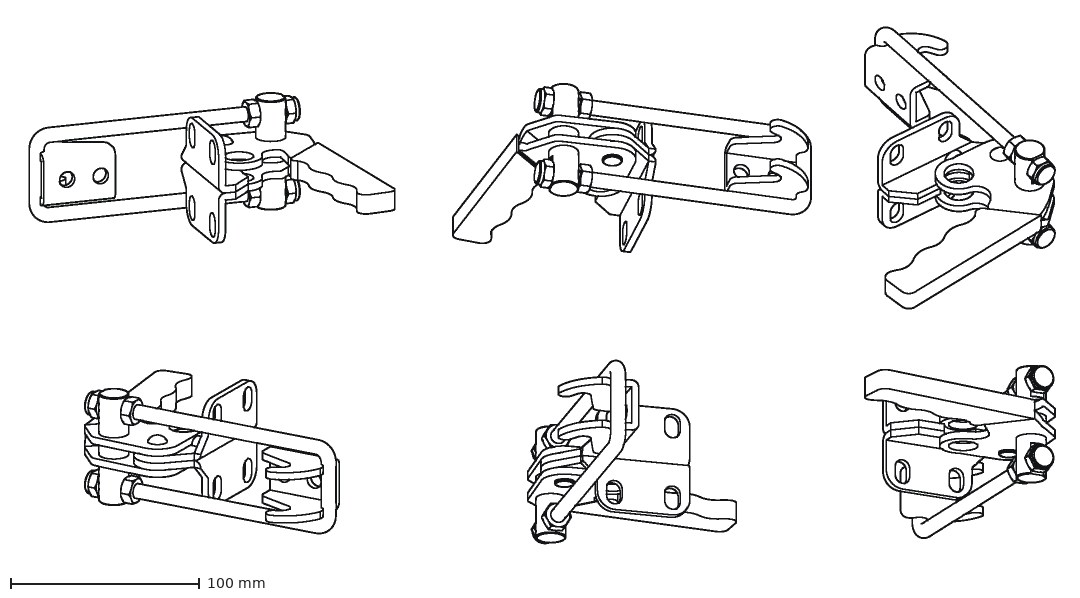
import cadquery as cq
import math


STACK_HEIGHT = 15.9
SHEET = STACK_HEIGHT / 4
ROD_DIAMETER = 8.0
ROD_RADIUS = ROD_DIAMETER / 2
ROD_HALF_SPACING = 22.2

BARREL_RADIUS = 8.0
BARREL_LENGTH = 60.4
BARREL_CHAMFER = 0.5
BARREL_FLAT_Y = 7.0
BARREL_FLAT_START = 13.0

U_BEND_RADIUS = 7.1
U_BOTTOM_Y = -135.7
U_BAR_Y = U_BOTTOM_Y + ROD_RADIUS
NUT_ACROSS_FLATS = 13.0
NUT_CHAMFER_RADIUS = 0.93
NUT_CHAMFER_HEIGHT = 0.54
JAM_NUT_HEIGHT = 6.1
LOCK_NUT_HEIGHT = 5.0
COLLAR_HEIGHT = 2.5
COLLAR_DIAMETER = 12.7
COLLAR_CHAMFER = 0.7

PIVOT = (0, -26.7)
EYE = (26.5, -27.4)
EYE_RADIUS = 7.8
CORNER_RADIUS = 12.5
NOTCH = (30.1, -7.5)
NOTCH_RADIUS = 8.0
NOTCH_END_ANGLE = 110
LEVER_ANGLE = 43
LEVER_SHOULDER = (-11.2, 7.0)
LEVER_SHOULDER_RADIUS = 4.7
LEVER_TOP_Y = 21.6
LEVER_TOP_RADIUS = 13.5
TONGUE_END_X = 37.2
JOG_ANGLE = 34
JOG_START = 15.0

GRIP_THICKNESS = 10.7
GRIP_TOP_CORNER = (9.6, 23.2)
GRIP_FACE_BOTTOM = (30.8, 0.76)
GRIP_END_TOP = (105.2, 34.0)
GRIP_END_BOTTOM = (107.2, 12.3)
GRIP_CORNER_RADIUS = 4.7
GROOVE_COUNT = 3
GROOVE_START = (37.2, 1.9)
GROOVE_STEP = (24.0, 4.9)
GROOVE_MIDDLE = (5.5, 2.7)
GROOVE_END = (10.8, 2.4)
BULGE_MIDDLE = (16.9, 1.9)
FIRST_BULGE_MIDDLE = (33.8, -0.5)
LAST_BULGE_MIDDLE = (100.1, 12.7)
LAST_BULGE_END_X = 102.8

BASE_TOP_Y = -31.0
BEND_Y = -47.5
BASE_RIGHT_X = 62.0
BASE_CHAMFER = 11.0
EYE_CLEARANCE_RADIUS = 10.0
FOOT_LEFT_X = 11.2
FOOT_SPAN = 59.7
FOOT_HALF_HEIGHT = FOOT_SPAN / 2
FOOT_CORNER_RADIUS = 9.6
FOOT_INNER_RADIUS = 2.9
SLOT_X = (20.5, 52.5)
SLOT_Z = 20.1
SLOT_LENGTH = 13.0
SLOT_WIDTH = 8.5
STOP_X = 18.3
STOP_RADIUS = 5.4
STOP_AXIS_Z = 2.2
STOP_END_Y = -44.1

RIVET_HEAD_RADIUS = 5.2
RIVET_DOME_HEIGHT = 3.2
RIVET_TAIL_HEIGHT = 1.2
RIVET_TAIL_CHAMFER = 0.5
RIVET_SHANK_RADIUS = 4.0

KEEPER_HEIGHT = 28.2
KEEPER_HALF_HEIGHT = KEEPER_HEIGHT / 2
KEEPER_BACK_X = 11.3
KEEPER_TOP_Y = -91.3
KEEPER_BOTTOM_Y = -131.8
KEEPER_HOLE_Y = (-99.6, -118.5)
KEEPER_HOLE_DIAMETER = 8.5
HOOK_TIP = (-23.0, -111.3)
HOOK_TIP_RADIUS = 4.0
HOOK_TIP_MIDDLE_ANGLE = 110
HOOK_TIP_END_ANGLE = 195
HOOK_THROAT = (-13.5, -111.5)
HOOK_THROAT_RADIUS = 4.0
HOOK_BACK_MIDDLE = (-19.3, -125.2)
HOOK_BACK_END_X = -8.8
HOOK_SLOPE_ANGLE = 71
HOOK_TOP_RADIUS = 4.0
MOUTH_RADIUS = 3.9


def polar(center, radius, degrees):
    """Point on a circle."""
    angle = math.radians(degrees)
    return (center[0] + radius * math.cos(angle), center[1] + radius * math.sin(angle))


def shifted(point, dx, dy):
    """Point moved by the given amounts."""
    return (point[0] + dx, point[1] + dy)


def round_edges(solid, points, radius, direction="|Z"):
    """Fillet the straight edges nearest to the given points."""
    for point in points:
        edge = solid.edges(direction).edges(cq.selectors.NearestToPointSelector(point))
        solid = edge.fillet(radius)
    return solid


def disc(center, radius, height, start=0.0):
    """Cylinder along +Z."""
    return cq.Workplane("XY", origin=(*center, start)).circle(radius).extrude(height)



def make_barrel():
    barrel = disc((0, 0), BARREL_RADIUS, BARREL_LENGTH, -BARREL_LENGTH / 2)
    barrel = barrel.faces("|Z").edges().chamfer(BARREL_CHAMFER)
    flat_length = BARREL_LENGTH / 2 - BARREL_FLAT_START
    flat_z = BARREL_FLAT_START + flat_length / 2
    flat = cq.Workplane("XY").box(2 * BARREL_RADIUS, BARREL_RADIUS, flat_length, centered=(True, False, True))
    rod_hole = cq.Workplane("XZ").circle(ROD_RADIUS).extrude(BARREL_RADIUS, both=True)
    for side in (1, -1):
        barrel = barrel.cut(flat.translate((0, BARREL_FLAT_Y, side * flat_z)))
        barrel = barrel.cut(rod_hole.translate((0, 0, side * ROD_HALF_SPACING)))
    return barrel



def make_nut(height):
    """Hexagon along +Y from the origin with corners on the X axis, chamfered at both ends."""
    corner_radius = NUT_ACROSS_FLATS / math.sqrt(3)
    hexagon = cq.Workplane("XZ").polygon(6, 2 * corner_radius).extrude(-height)
    face_radius = corner_radius - NUT_CHAMFER_RADIUS
    turned = (
        cq.Workplane("XY")
        .polyline([
            (0, 0),
            (face_radius, 0),
            (corner_radius, NUT_CHAMFER_HEIGHT),
            (corner_radius, height - NUT_CHAMFER_HEIGHT),
            (face_radius, height),
            (0, height),
        ])
        .close()
        .revolve(360, (0, 0, 0), (0, 1, 0))
    )
    return hexagon.intersect(turned)


def make_lock_nut():
    collar = cq.Workplane("XZ").circle(COLLAR_DIAMETER / 2).extrude(-(LOCK_NUT_HEIGHT + COLLAR_HEIGHT))
    collar = collar.faces(">Y").edges().chamfer(COLLAR_CHAMFER)
    return make_nut(LOCK_NUT_HEIGHT).union(collar)


def make_u_bolt():
    rod_top = BARREL_FLAT_Y + LOCK_NUT_HEIGHT + COLLAR_HEIGHT
    bend_y = U_BAR_Y + U_BEND_RADIUS
    bar_half = ROD_HALF_SPACING - U_BEND_RADIUS
    bend_offset = U_BEND_RADIUS * (1 - math.sqrt(0.5))
    path = (
        cq.Workplane("YZ")
        .moveTo(rod_top, ROD_HALF_SPACING)
        .lineTo(bend_y, ROD_HALF_SPACING)
        .threePointArc((U_BAR_Y + bend_offset, ROD_HALF_SPACING - bend_offset), (U_BAR_Y, bar_half))
        .lineTo(U_BAR_Y, -bar_half)
        .threePointArc((U_BAR_Y + bend_offset, bend_offset - ROD_HALF_SPACING), (bend_y, -ROD_HALF_SPACING))
        .lineTo(rod_top, -ROD_HALF_SPACING)
    )
    start = cq.Workplane("XZ", origin=(0, rod_top, ROD_HALF_SPACING))
    u_bolt = start.circle(ROD_RADIUS).sweep(path)
    for z in (ROD_HALF_SPACING, -ROD_HALF_SPACING):
        u_bolt = u_bolt.union(make_lock_nut().translate((0, BARREL_FLAT_Y, z)))
        u_bolt = u_bolt.union(make_nut(JAM_NUT_HEIGHT).translate((0, -BARREL_RADIUS - JAM_NUT_HEIGHT, z)))
    return u_bolt



def lever_outline():
    notch_end = polar(NOTCH, NOTCH_RADIUS, NOTCH_END_ANGLE)
    eye_side = math.degrees(math.atan2(NOTCH[1] - EYE[1], NOTCH[0] - EYE[0]))
    slope = math.tan(math.radians(LEVER_ANGLE))
    lever_top_x = LEVER_SHOULDER[0] + (LEVER_TOP_Y - LEVER_SHOULDER[1]) / slope
    bottom_y = PIVOT[1] - CORNER_RADIUS
    eye_bottom_x = EYE[0] - math.sqrt(CORNER_RADIUS**2 - (EYE[1] - bottom_y) ** 2)
    tongue_y = notch_end[1] + (TONGUE_END_X - notch_end[0]) * slope
    outline = (
        cq.Workplane("XY")
        .moveTo(*polar(PIVOT, CORNER_RADIUS, 180))
        .threePointArc(polar(PIVOT, CORNER_RADIUS, 225), polar(PIVOT, CORNER_RADIUS, 270))
        .lineTo(eye_bottom_x, bottom_y)
        .threePointArc(polar(EYE, CORNER_RADIUS, 0), polar(EYE, CORNER_RADIUS, eye_side))
        .threePointArc(polar(NOTCH, NOTCH_RADIUS, 180), notch_end)
        .lineTo(TONGUE_END_X, tongue_y)
        .lineTo(TONGUE_END_X, LEVER_TOP_Y)
        .lineTo(lever_top_x, LEVER_TOP_Y)
        .lineTo(*LEVER_SHOULDER)
        .close()
        .extrude(2 * SHEET)
    )
    outline = round_edges(outline, [(*LEVER_SHOULDER, SHEET)], LEVER_SHOULDER_RADIUS)
    return round_edges(outline, [(lever_top_x, LEVER_TOP_Y, SHEET)], LEVER_TOP_RADIUS)


def jogged_sheet():
    """Wide sheet that steps down by its own thickness across the two bend lines."""
    reach = 101.5
    sine = math.sin(math.radians(JOG_ANGLE))
    cosine = math.cos(math.radians(JOG_ANGLE))
    half_sine = math.sin(math.radians(JOG_ANGLE / 2))
    half_cosine = math.cos(math.radians(JOG_ANGLE / 2))
    jog_end = JOG_START + SHEET / sine
    profile = (
        cq.Workplane("XZ")
        .moveTo(-reach, SHEET)
        .lineTo(-reach, 2 * SHEET)
        .lineTo(JOG_START, 2 * SHEET)
        .threePointArc(
            (JOG_START + SHEET * half_sine, SHEET + SHEET * half_cosine),
            (JOG_START + SHEET * sine, SHEET + SHEET * cosine),
        )
        .lineTo(jog_end, SHEET)
        .lineTo(reach, SHEET)
        .lineTo(reach, 0)
        .lineTo(jog_end, 0)
        .threePointArc(
            (jog_end - SHEET * half_sine, SHEET - SHEET * half_cosine),
            (jog_end - SHEET * sine, SHEET - SHEET * cosine),
        )
        .lineTo(JOG_START, SHEET)
        .close()
    )
    return profile.extrude(reach, both=True).rotate((0, 0, 0), (0, 0, 1), LEVER_ANGLE)


def make_lever():
    """Two mirrored plates joined at the tongue."""
    plate = lever_outline().intersect(jogged_sheet())
    plate = plate.cut(disc((0, 0), BARREL_RADIUS, 2 * SHEET))
    plate = plate.cut(disc(PIVOT, RIVET_SHANK_RADIUS, 2 * SHEET))
    plate = plate.cut(disc(EYE, EYE_RADIUS, 2 * SHEET))
    return plate.union(plate.mirror("XY"))



def groove_point(index, offset):
    """Point given by its offset from the start of a finger groove."""
    x = GROOVE_START[0] + index * GROOVE_STEP[0] + offset[0]
    y = GROOVE_START[1] + index * GROOVE_STEP[1] + offset[1]
    return (x, y)


def make_grip(lever):
    """Handle with finger grooves, with a pocket that fits the lever tongue."""
    outline = (
        cq.Workplane("XY")
        .moveTo(*GRIP_TOP_CORNER)
        .lineTo(*GRIP_END_TOP)
        .lineTo(*GRIP_END_BOTTOM)
        .lineTo(LAST_BULGE_END_X, GRIP_END_BOTTOM[1])
    )
    bulge_middle = LAST_BULGE_MIDDLE
    for index in reversed(range(GROOVE_COUNT)):
        outline = outline.threePointArc(bulge_middle, groove_point(index, GROOVE_END))
        outline = outline.threePointArc(groove_point(index, GROOVE_MIDDLE), groove_point(index, (0, 0)))
        bulge_middle = groove_point(index - 1, BULGE_MIDDLE)
    outline = outline.threePointArc(FIRST_BULGE_MIDDLE, GRIP_FACE_BOTTOM).close()
    grip = outline.extrude(GRIP_THICKNESS / 2, both=True)
    grip = round_edges(grip, [(*GRIP_END_TOP, 0), (*GRIP_END_BOTTOM, 0)], GRIP_CORNER_RADIUS)
    return grip.cut(lever)



def base_web():
    """Upright sheet between the lever plates with its bend, and the X where the bend begins."""
    diagonal_start = polar(PIVOT, CORNER_RADIUS, 225)
    bend_left = shifted(diagonal_start, diagonal_start[1] - BEND_Y, BEND_Y - diagonal_start[1])
    web = (
        cq.Workplane("XY")
        .polyline([
            PIVOT,
            diagonal_start,
            bend_left,
            (BASE_RIGHT_X, BEND_Y),
            (BASE_RIGHT_X, BASE_TOP_Y - BASE_CHAMFER),
            (BASE_RIGHT_X - BASE_CHAMFER, BASE_TOP_Y),
            (PIVOT[0], BASE_TOP_Y),
        ])
        .close()
        .extrude(SHEET)
    )
    web = web.union(disc(PIVOT, CORNER_RADIUS, SHEET))
    web = web.cut(disc(EYE, EYE_CLEARANCE_RADIUS, SHEET))
    web = web.cut(disc(PIVOT, RIVET_SHANK_RADIUS, SHEET))
    bend_reach = SHEET * math.sqrt(0.5)
    bend = (
        cq.Workplane("YZ", origin=(bend_left[0], 0, 0))
        .moveTo(BEND_Y, 0)
        .threePointArc((BEND_Y - bend_reach, SHEET - bend_reach), (BEND_Y - SHEET, SHEET))
        .lineTo(BEND_Y, SHEET)
        .close()
        .extrude(BASE_RIGHT_X - bend_left[0])
    )
    return web.union(bend), bend_left[0]


def base_foot(left_x):
    """Mounting flange; its inner end widens at 45 degrees from the bend."""
    neck_top = SHEET + FOOT_LEFT_X - left_x
    foot = (
        cq.Workplane("XZ", origin=(0, BEND_Y, 0))
        .polyline([
            (left_x, SHEET),
            (FOOT_LEFT_X, neck_top),
            (FOOT_LEFT_X, FOOT_HALF_HEIGHT),
            (BASE_RIGHT_X, FOOT_HALF_HEIGHT),
            (BASE_RIGHT_X, SHEET),
        ])
        .close()
        .extrude(SHEET)
    )
    middle_y = BEND_Y - SHEET / 2
    outer_corners = [(x, middle_y, FOOT_HALF_HEIGHT) for x in (FOOT_LEFT_X, BASE_RIGHT_X)]
    foot = round_edges(foot, outer_corners, FOOT_CORNER_RADIUS, "|Y")
    foot = round_edges(foot, [(FOOT_LEFT_X, middle_y, neck_top)], FOOT_INNER_RADIUS, "|Y")
    slots = (
        cq.Workplane("XZ", origin=(0, BEND_Y, 0))
        .pushPoints([(x, SLOT_Z) for x in SLOT_X])
        .slot2D(SLOT_LENGTH, SLOT_WIDTH, 90)
        .extrude(SHEET)
    )
    return foot.cut(slots)


def lever_stop():
    """Round boss standing on the web, on which the lever edge comes to rest."""
    start_y = EYE[1] - CORNER_RADIUS
    stop_plane = cq.Workplane("XZ", origin=(STOP_X, start_y, STOP_AXIS_Z))
    boss = stop_plane.circle(STOP_RADIUS).extrude(start_y - STOP_END_Y)
    boss_size = 2 * STOP_RADIUS
    above_web = cq.Workplane("XY").box(boss_size, boss_size, boss_size, centered=(True, True, False))
    return boss.intersect(above_web.translate((STOP_X, start_y, SHEET)))


def make_base_plates():
    web, left_x = base_web()
    plate = web.union(base_foot(left_x))
    return plate.union(lever_stop()), plate.mirror("XY")



def make_rivet():
    half_stack = STACK_HEIGHT / 2
    shank = disc(PIVOT, RIVET_SHANK_RADIUS, STACK_HEIGHT, -half_stack)
    tail = disc(PIVOT, RIVET_HEAD_RADIUS, RIVET_TAIL_HEIGHT, -half_stack - RIVET_TAIL_HEIGHT)
    tail = tail.faces("<Z").edges().chamfer(RIVET_TAIL_CHAMFER)
    sphere_radius = (RIVET_HEAD_RADIUS**2 + RIVET_DOME_HEIGHT**2) / (2 * RIVET_DOME_HEIGHT)
    sphere_z = half_stack + RIVET_DOME_HEIGHT - sphere_radius
    dome = cq.Workplane("XY", origin=(*PIVOT, sphere_z)).sphere(sphere_radius)
    dome = dome.intersect(disc(PIVOT, sphere_radius, RIVET_DOME_HEIGHT, half_stack))
    return shank.union(tail).union(dome)



def keeper_hook():
    """Hook plate in the XY plane, extruded upward by one sheet thickness."""
    web_x = KEEPER_BACK_X - SHEET
    span = math.dist(HOOK_TIP, HOOK_THROAT)
    heading = math.degrees(math.atan2(HOOK_THROAT[1] - HOOK_TIP[1], HOOK_THROAT[0] - HOOK_TIP[0]))
    tangent = heading + math.degrees(math.acos((HOOK_TIP_RADIUS + HOOK_THROAT_RADIUS) / span))
    throat_end = polar(HOOK_THROAT, HOOK_THROAT_RADIUS, HOOK_SLOPE_ANGLE - 90)
    top_x = throat_end[0] + (KEEPER_TOP_Y - throat_end[1]) / math.tan(math.radians(HOOK_SLOPE_ANGLE))
    hook = (
        cq.Workplane("XY")
        .moveTo(web_x, KEEPER_TOP_Y)
        .lineTo(top_x, KEEPER_TOP_Y)
        .lineTo(*throat_end)
        .threePointArc(
            polar(HOOK_THROAT, HOOK_THROAT_RADIUS, 270),
            polar(HOOK_THROAT, HOOK_THROAT_RADIUS, tangent + 180),
        )
        .lineTo(*polar(HOOK_TIP, HOOK_TIP_RADIUS, tangent))
        .threePointArc(
            polar(HOOK_TIP, HOOK_TIP_RADIUS, HOOK_TIP_MIDDLE_ANGLE),
            polar(HOOK_TIP, HOOK_TIP_RADIUS, HOOK_TIP_END_ANGLE),
        )
        .threePointArc(HOOK_BACK_MIDDLE, (HOOK_BACK_END_X, KEEPER_BOTTOM_Y))
        .lineTo(web_x, KEEPER_BOTTOM_Y)
        .close()
        .extrude(SHEET)
    )
    hook = round_edges(hook, [(top_x, KEEPER_TOP_Y, SHEET / 2)], HOOK_TOP_RADIUS)
    hook = hook.cut(disc((0, U_BAR_Y), ROD_RADIUS, SHEET))
    mouth = [(x, KEEPER_BOTTOM_Y, SHEET / 2) for x in (-ROD_RADIUS, ROD_RADIUS)]
    return round_edges(hook, mouth, MOUTH_RADIUS)


def make_keeper():
    """Channel with a drilled web and two hooked flanges."""
    length = KEEPER_TOP_Y - KEEPER_BOTTOM_Y
    flat_half = KEEPER_HALF_HEIGHT - SHEET
    web_x = KEEPER_BACK_X - SHEET
    bend_x = web_x + SHEET * math.sqrt(0.5)
    bend_z = flat_half + SHEET * math.sqrt(0.5)
    web = (
        cq.Workplane("XZ", origin=(0, KEEPER_TOP_Y, 0))
        .moveTo(web_x, KEEPER_HALF_HEIGHT)
        .threePointArc((bend_x, bend_z), (KEEPER_BACK_X, flat_half))
        .lineTo(KEEPER_BACK_X, -flat_half)
        .threePointArc((bend_x, -bend_z), (web_x, -KEEPER_HALF_HEIGHT))
        .close()
        .extrude(length)
    )
    holes = cq.Workplane("YZ").pushPoints([(y, 0) for y in KEEPER_HOLE_Y]).circle(KEEPER_HOLE_DIAMETER / 2)
    keeper = web.cut(holes.extrude(KEEPER_BACK_X))
    hook = keeper_hook()
    for z in (flat_half, -KEEPER_HALF_HEIGHT):
        keeper = keeper.union(hook.translate((0, 0, z)))
    return keeper


barrel = make_barrel()
u_bolt = make_u_bolt()
lever = make_lever()
grip = make_grip(lever)
upper_base, lower_base = make_base_plates()
rivet = make_rivet()
keeper = make_keeper()

result = cq.Compound.makeCompound([
    barrel.val(),
    u_bolt.val(),
    lever.val(),
    grip.val(),
    upper_base.val(),
    lower_base.val(),
    rivet.val(),
    keeper.val(),
])